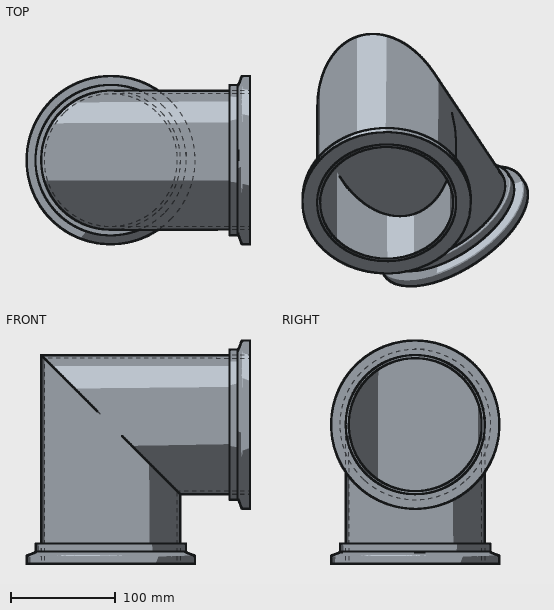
import cadquery as cq
import math

overall_length = 213.5
rim_diameter = 161.0
hub_diameter = 144.0
pipe_diameter = 133.0
pipe_bore = 127.0

rim_height = 8.0
cone_angle = 20.0
rim_edge_radius = 1.7
hub_root_radius = 1.0
flange_height = 19.6
hub_edge_radius = 1.0

leg_length = overall_length - rim_diameter / 2


def mitred_bar(diameter):
    """Solid round bar that follows both leg axes and has a sharp mitred corner."""
    path = cq.Workplane("XZ").moveTo(0, -leg_length).lineTo(0, 0).lineTo(leg_length, 0)
    end_plane = cq.Workplane("XY", origin=(0, 0, -leg_length))
    return end_plane.circle(diameter / 2).sweep(path, transition="right")


def make_elbow():
    """Mitred pipe, open at both flange faces."""
    return mitred_bar(pipe_diameter).cut(mitred_bar(pipe_bore))


def round_ring(flange, height, fillet_radius):
    """Fillet the outermost circular edge at this height above the flange face."""
    tolerance = 0.02
    ring_z = height - leg_length
    rings = flange.edges("%CIRCLE").filter(lambda ring: abs(ring.Center().z - ring_z) < tolerance)
    return rings.edges(cq.selectors.RadiusNthSelector(-1)).fillet(fillet_radius)


def make_flange():
    """Flange around the lower leg, with its face at the pipe end and its hub upward."""
    bore_radius = pipe_diameter / 2
    hub_radius = hub_diameter / 2
    rim_radius = rim_diameter / 2
    cone_top_height = rim_height + (rim_radius - hub_radius) * math.tan(math.radians(cone_angle))
    profile = (
        cq.Workplane("XZ", origin=(0, 0, -leg_length))
        .moveTo(bore_radius, 0)
        .lineTo(rim_radius, 0)
        .lineTo(rim_radius, rim_height)
        .lineTo(hub_radius, cone_top_height)
        .lineTo(hub_radius, flange_height)
        .lineTo(bore_radius, flange_height)
        .close()
    )
    flange = profile.revolve(360, (0, 0, 0), (0, 1, 0))
    flange = round_ring(flange, rim_height, rim_edge_radius)
    flange = round_ring(flange, cone_top_height, hub_root_radius)
    return round_ring(flange, flange_height, hub_edge_radius)


elbow = make_elbow()

flanges = []
for turn_angle in (0, -90):
    flange = make_flange().rotate((0, 0, 0), (0, 1, 0), turn_angle)
    flanges.append(flange.val())

result = cq.Compound.makeCompound([elbow.val(), *flanges])